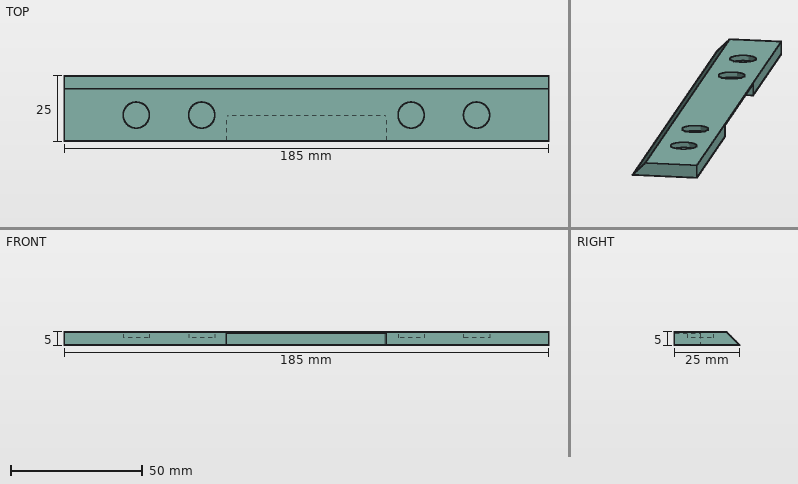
import cadquery as cq

length = 185.0
width = 25.0
thickness = 5.0
bevel_run = 5.0

hole_diameter = 10.0
hole_depth = 2.0
hole_from_front = 10.0
inner_hole_offset = 40.0
hole_pitch = 25.0

recess_length = 61.0
recess_reach = 10.0
recess_roof = 0.5
recess_corner_radius = 1.1


def make_bar():
    """Bar with its rear edge bevelled down to a sharp bottom edge."""
    profile = [
        (0, 0),
        (width, 0),
        (width - bevel_run, thickness),
        (0, thickness),
    ]
    return (
        cq.Workplane("YZ", origin=(-length / 2, 0, 0))
        .polyline(profile)
        .close()
        .extrude(length)
    )


def make_holes():
    """Cutters for the two pairs of blind holes."""
    outer_hole_offset = inner_hole_offset + hole_pitch
    centres = [
        (side * offset, hole_from_front)
        for side in (-1, 1)
        for offset in (inner_hole_offset, outer_hole_offset)
    ]
    return (
        cq.Workplane("XY", origin=(0, 0, thickness - hole_depth))
        .pushPoints(centres)
        .circle(hole_diameter / 2)
        .extrude(hole_depth)
    )


def make_recess():
    """Cutter for the underside recess, with rounded inner corners."""
    return (
        cq.Workplane("XY")
        .box(recess_length, recess_reach, thickness - recess_roof, centered=(True, False, False))
        .edges("|Z and >Y")
        .fillet(recess_corner_radius)
    )


result = make_bar().cut(make_holes()).cut(make_recess())